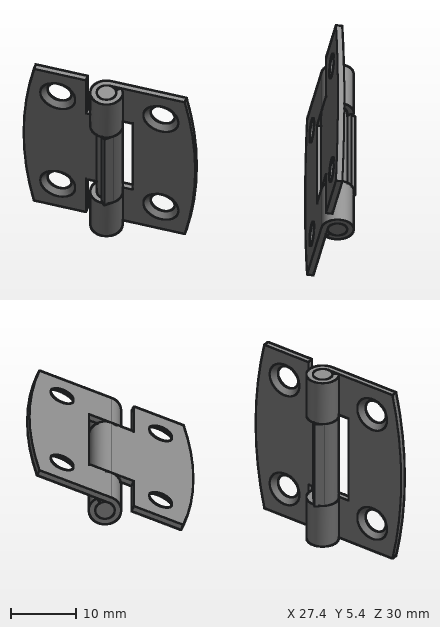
import cadquery as cq
import math

height = 30.0
width = 27.45
end_width = 24.15
pin_diameter = 3.0
thickness = pin_diameter / 3
pin_radius = pin_diameter / 2
barrel_radius = pin_radius + thickness

knuckle_length = 15.0
end_knuckle_length = (height - knuckle_length) / 2
notch_reach = 3.75

curl_end_angle = 36.5
tail_angle = -48.0
tail_length = 1.55

hole_x = 8.25
hole_z = 10.0
hole_diameter = 3.8
sink_diameter = 5.6
sink_angle = 90.0


def polar(radius, angle):
    """XY point at an angle in degrees about the hinge axis."""
    return radius * math.cos(math.radians(angle)), radius * math.sin(math.radians(angle))


def make_plate(side):
    """Flat leaf with a bowed outer edge; side is -1 for left, +1 for right."""
    return (
        cq.Workplane("XZ", origin=(0, barrel_radius, 0))
        .moveTo(0, -height / 2)
        .lineTo(side * end_width / 2, -height / 2)
        .threePointArc((side * width / 2, 0), (side * end_width / 2, height / 2))
        .lineTo(0, height / 2)
        .close()
        .extrude(thickness)
    )


def notch(plate, length, z):
    """Clear the plate around a knuckle of the other leaf."""
    return plate.cut(
        cq.Workplane("XY").box(2 * notch_reach, 4 * barrel_radius, length).translate((0, 0, z))
    )


def drill_screw_holes(leaf, side):
    """Two countersunk holes, sunk from the pin side of the leaf."""
    return (
        leaf.copyWorkplane(cq.Workplane("XZ", origin=(0, pin_radius, 0)))
        .pushPoints([(side * hole_x, -hole_z), (side * hole_x, hole_z)])
        .cskHole(hole_diameter, sink_diameter, sink_angle)
    )


def make_end_knuckle(bottom):
    """Curl from the plate around the left of the pin and back up on the right."""
    middle_angle = (90 + 360 + curl_end_angle) / 2
    return (
        cq.Workplane("XY", origin=(0, 0, bottom))
        .moveTo(0, barrel_radius)
        .threePointArc(polar(barrel_radius, middle_angle), polar(barrel_radius, curl_end_angle))
        .lineTo(*polar(pin_radius, curl_end_angle))
        .threePointArc(polar(pin_radius, middle_angle), (0, pin_radius))
        .close()
        .extrude(end_knuckle_length)
    )


def make_middle_knuckle():
    """Curl around the right of the pin, ending in a straight tangent tail."""
    middle_angle = (90 + tail_angle) / 2
    tail_x, tail_y = polar(tail_length, tail_angle - 90)
    outer_x, outer_y = polar(barrel_radius, tail_angle)
    inner_x, inner_y = polar(pin_radius, tail_angle)
    return (
        cq.Workplane("XY", origin=(0, 0, -knuckle_length / 2))
        .moveTo(0, barrel_radius)
        .threePointArc(polar(barrel_radius, middle_angle), (outer_x, outer_y))
        .lineTo(outer_x + tail_x, outer_y + tail_y)
        .lineTo(inner_x + tail_x, inner_y + tail_y)
        .lineTo(inner_x, inner_y)
        .threePointArc(polar(pin_radius, middle_angle), (0, pin_radius))
        .close()
        .extrude(knuckle_length)
    )


def make_left_leaf():
    leaf = make_plate(-1)
    end_knuckle_z = (height - end_knuckle_length) / 2
    for z in (-end_knuckle_z, end_knuckle_z):
        leaf = notch(leaf, end_knuckle_length, z)
    return drill_screw_holes(leaf.union(make_middle_knuckle()), -1)


def make_right_leaf():
    leaf = notch(make_plate(1), knuckle_length, 0)
    for bottom in (-height / 2, knuckle_length / 2):
        leaf = leaf.union(make_end_knuckle(bottom))
    return drill_screw_holes(leaf, 1)


def make_pin():
    return cq.Workplane("XY", origin=(0, 0, -height / 2)).circle(pin_radius).extrude(height)


left_leaf = make_left_leaf()
right_leaf = make_right_leaf()
pin = make_pin()

result = cq.Compound.makeCompound(
    [left_leaf.solids().val(), right_leaf.solids().val(), pin.val()]
)